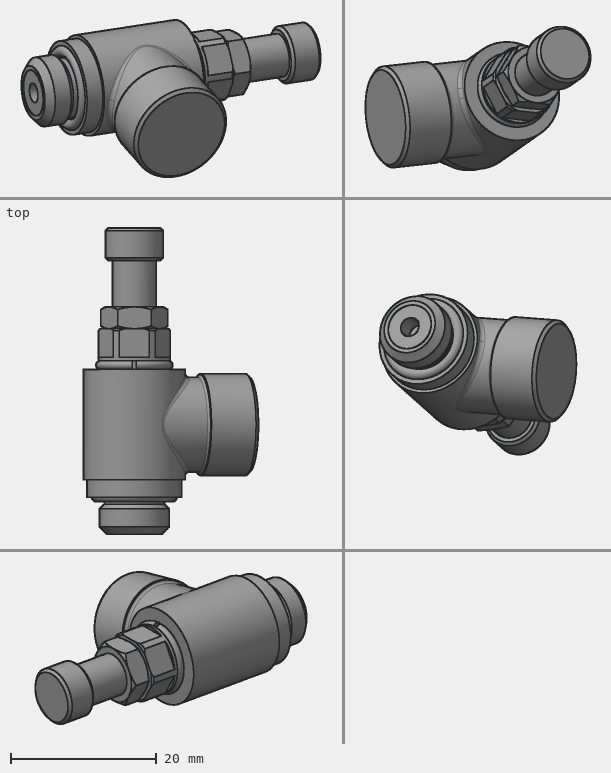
import cadquery as cq
import math

PLUG_DIAMETER = 9.6
PLUG_FRONT_CHAMFER = 1.05
PLUG_REAR_STATION = 3.5
PLUG_BORE_DIAMETER = 2.7
PLUG_BORE_DEPTH = 3.35
FACE_RECESS_DIAMETER = 6.35
FACE_RECESS_DEPTH = 0.1
NECK_DIAMETER = 8.3

SEAL_OUTER_DIAMETER = 11.75
SEAL_TUBE_RADIUS = 0.75
SEAL_FRONT_STATION = 4.45

COLLAR_DIAMETER = 13.0
COLLAR_FRONT_STATION = 5.1

BODY_DIAMETER = 14.0
BODY_FRONT_STATION = 7.48
BODY_LENGTH = 15.1
BODY_REAR_STATION = BODY_FRONT_STATION + BODY_LENGTH

OUTLET_TILT = 12.3
OUTLET_DIAMETER = 14.0
OUTLET_LENGTH = 16.0
OUTLET_END_CHAMFER = 0.45
OUTLET_NECK_DIAMETER = 13.0
OUTLET_NECK_LENGTH = 8.8
OUTLET_ROOT_FILLET = 0.6
OUTLET_HEAD_CHAMFER = 0.105
OUTLET_STATION = BODY_FRONT_STATION + BODY_LENGTH / 2

RING_DIAMETER = 10.55
RING_CORE_DIAMETER = 8.75
RING_WIDTH = 1.18
RING_GAP = 0.6

SLEEVE_DIAMETER = 9.85
SLEEVE_ACROSS_FLATS = 9.0
SLEEVE_FRONT_STATION = BODY_REAR_STATION + RING_WIDTH
SLEEVE_FLATS_STATION = 24.28
SLEEVE_REAR_STATION = 28.2
SLEEVE_CHAMFER = 0.25

NUT_ACROSS_FLATS = 8.0
NUT_REAR_STATION = 31.15
NUT_CONE_ANGLE = 30.0

STEM_DIAMETER = 6.0
KNOB_DIAMETER = 8.0
KNOB_FRONT_STATION = 37.5
KNOB_REAR_STATION = 42.0
KNOB_CHAMFER = 0.4

HEX_CORNER_RATIO = 1 / math.cos(math.pi / 6)


def cylinder(diameter, start, end):
    """Round bar on the valve axis between two stations."""
    plane = cq.Plane(origin=(0, start, 0), xDir=(1, 0, 0), normal=(0, 1, 0))
    return cq.Workplane(plane).circle(diameter / 2).extrude(end - start)


def hexagon(across_flats, start, end):
    """Hexagonal bar on the valve axis with corners pointing along X."""
    plane = cq.Plane(origin=(0, start, 0), xDir=(1, 0, 0), normal=(0, 1, 0))
    return cq.Workplane(plane).polygon(6, across_flats * HEX_CORNER_RATIO).extrude(end - start)


def make_plug():
    neck_chamfer = (PLUG_DIAMETER - NECK_DIAMETER) / 2
    plug = cylinder(PLUG_DIAMETER, 0, PLUG_REAR_STATION + neck_chamfer)
    plug = plug.faces("<Y").chamfer(PLUG_FRONT_CHAMFER)
    plug = plug.faces(">Y").chamfer(neck_chamfer)
    return plug.union(cylinder(NECK_DIAMETER, PLUG_REAR_STATION, BODY_FRONT_STATION))


def make_seal():
    return cq.Workplane(
        cq.Solid.makeTorus(
            SEAL_OUTER_DIAMETER / 2 - SEAL_TUBE_RADIUS,
            SEAL_TUBE_RADIUS,
            cq.Vector(0, SEAL_FRONT_STATION + SEAL_TUBE_RADIUS, 0),
            cq.Vector(0, 1, 0),
        )
    )


def make_body():
    """Main barrel with the stepped, tilted outlet blended into its side."""
    tilt = math.radians(OUTLET_TILT)
    plane = cq.Plane(
        origin=(0, OUTLET_STATION, 0),
        xDir=(0, 1, 0),
        normal=(math.cos(tilt), 0, -math.sin(tilt)),
    )
    barrel = cylinder(BODY_DIAMETER, BODY_FRONT_STATION, BODY_REAR_STATION)
    neck = cq.Workplane(plane).circle(OUTLET_NECK_DIAMETER / 2).extrude(OUTLET_NECK_LENGTH)
    body = barrel.union(neck)
    root_box = cq.selectors.BoxSelector(
        (0, BODY_FRONT_STATION + OUTLET_ROOT_FILLET, -BODY_DIAMETER),
        (BODY_DIAMETER / 2, BODY_REAR_STATION - OUTLET_ROOT_FILLET, BODY_DIAMETER),
    )
    body = body.edges(root_box).fillet(OUTLET_ROOT_FILLET)
    return body.union(make_outlet_head(plane))


def make_outlet_head(plane):
    """Larger end of the outlet, joined to its neck by a hollow fillet."""
    neck_radius = OUTLET_NECK_DIAMETER / 2
    head_radius = OUTLET_DIAMETER / 2
    hollow_radius = head_radius - neck_radius - OUTLET_HEAD_CHAMFER
    hollow_end = OUTLET_NECK_LENGTH + hollow_radius
    arc_offset = hollow_radius * math.sqrt(0.5)
    profile = (
        cq.Workplane(cq.Plane(origin=plane.origin, xDir=plane.xDir, normal=-plane.yDir))
        .moveTo(0, OUTLET_NECK_LENGTH)
        .lineTo(neck_radius, OUTLET_NECK_LENGTH)
        .threePointArc(
            (neck_radius + hollow_radius - arc_offset, OUTLET_NECK_LENGTH + arc_offset),
            (neck_radius + hollow_radius, hollow_end),
        )
        .lineTo(head_radius, hollow_end + OUTLET_HEAD_CHAMFER)
        .lineTo(head_radius, OUTLET_LENGTH)
        .lineTo(0, OUTLET_LENGTH)
        .close()
    )
    head = profile.revolve(360, (0, 0, 0), (0, 1, 0))
    return head.faces(">X").edges().chamfer(OUTLET_END_CHAMFER)


def make_ring():
    """Snap ring with a full-round rim, split at the top, seated on a round core."""
    rim_radius = RING_DIAMETER / 2
    rim_start = rim_radius - RING_WIDTH / 2
    ring = (
        cq.Workplane("XY")
        .moveTo(0, BODY_REAR_STATION)
        .lineTo(rim_start, BODY_REAR_STATION)
        .threePointArc(
            (rim_radius, BODY_REAR_STATION + RING_WIDTH / 2),
            (rim_start, SLEEVE_FRONT_STATION),
        )
        .lineTo(0, SLEEVE_FRONT_STATION)
        .close()
        .revolve(360, (0, 0, 0), (0, 1, 0))
    )
    gap = cq.Workplane().box(RING_GAP, RING_WIDTH, RING_DIAMETER, centered=(True, False, False))
    ring = ring.cut(gap.translate((0, BODY_REAR_STATION, 0)))
    return ring.union(cylinder(RING_CORE_DIAMETER, BODY_REAR_STATION, SLEEVE_FRONT_STATION))


def make_sleeve():
    """Round flange and a bar with six flats whose corners stay round."""
    bar = cylinder(SLEEVE_DIAMETER, SLEEVE_FRONT_STATION, SLEEVE_REAR_STATION)
    bar = bar.faces(">Y").chamfer(SLEEVE_CHAMFER)
    flats = hexagon(SLEEVE_ACROSS_FLATS, SLEEVE_FLATS_STATION, SLEEVE_REAR_STATION)
    flange = cylinder(SLEEVE_DIAMETER, SLEEVE_FRONT_STATION, SLEEVE_FLATS_STATION)
    return bar.intersect(flats.union(flange))


def make_nut():
    """Hexagonal lock nut with its corners turned down on both ends."""
    corner_height = NUT_ACROSS_FLATS * (HEX_CORNER_RATIO - 1) / 2
    corner_drop = corner_height * math.tan(math.radians(NUT_CONE_ANGLE))
    blank = cylinder(NUT_ACROSS_FLATS * HEX_CORNER_RATIO, SLEEVE_REAR_STATION, NUT_REAR_STATION)
    blank = blank.faces(">Y").chamfer(corner_drop, corner_height)
    blank = blank.faces("<Y").chamfer(corner_drop, corner_height)
    return hexagon(NUT_ACROSS_FLATS, SLEEVE_REAR_STATION, NUT_REAR_STATION).intersect(blank)


def make_knob():
    knob = cylinder(KNOB_DIAMETER, KNOB_FRONT_STATION, KNOB_REAR_STATION)
    knob = knob.edges().chamfer(KNOB_CHAMFER)
    return knob.union(cylinder(STEM_DIAMETER, SLEEVE_REAR_STATION, KNOB_REAR_STATION))


result = make_body()
result = result.union(cylinder(COLLAR_DIAMETER, COLLAR_FRONT_STATION, BODY_FRONT_STATION))
for piece in (make_plug(), make_seal(), make_ring(), make_sleeve(), make_nut(), make_knob()):
    result = result.union(piece)
result = result.cut(cylinder(FACE_RECESS_DIAMETER, 0, FACE_RECESS_DEPTH))
result = result.cut(cylinder(PLUG_BORE_DIAMETER, 0, PLUG_BORE_DEPTH))